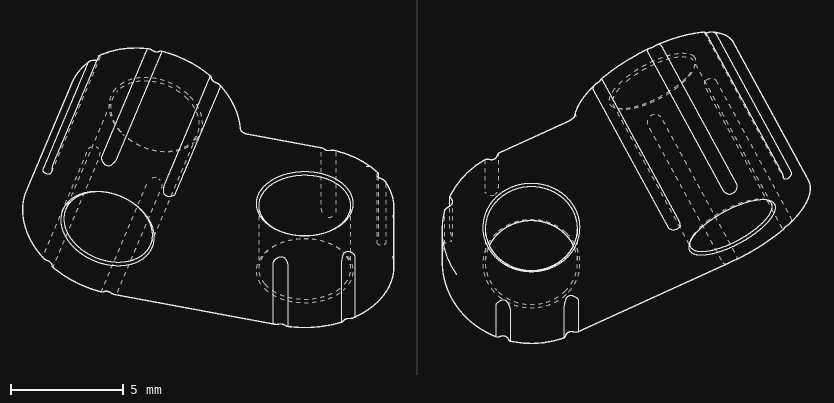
import cadquery as cq
import math

length = 15.95
width = 7.95
barrel_radius = 3.99
hole_radius = 2.04
hole_chamfer = 0.11
edge_round = 0.25
corner_round = 0.24
groove_floor_radius = 0.24
groove_depth = 0.25

tab_thickness = barrel_radius
tab_end_radius = width / 2
tab_hole_x = length - barrel_radius - tab_end_radius

barrel_groove_angles = (45, 90, 135, 225, 270)
tab_groove_angles = (-90, -45, 45, 90)


def make_body():
    """Barrel and round-ended tab, with all outer edges rounded."""
    corner_distance = barrel_radius + corner_round
    corner_x = math.sqrt(corner_distance**2 - corner_round**2)
    barrel_share = barrel_radius / corner_distance
    barrel_touch = (corner_x * barrel_share, corner_round * barrel_share)
    barrel_touch_angle = math.pi + math.atan2(corner_round, corner_x)
    tab_touch_angle = 1.5 * math.pi
    middle_angle = (barrel_touch_angle + tab_touch_angle) / 2
    corner_middle = (
        corner_x + corner_round * math.cos(middle_angle),
        corner_round + corner_round * math.sin(middle_angle),
    )
    side_profile = (
        cq.Workplane("XZ")
        .moveTo(0, -barrel_radius)
        .lineTo(length - barrel_radius, -tab_thickness)
        .lineTo(length - barrel_radius, 0)
        .lineTo(corner_x, 0)
        .threePointArc(corner_middle, barrel_touch)
        .threePointArc((-barrel_radius, 0), (0, -barrel_radius))
        .close()
    )
    plan_profile = (
        cq.Workplane("XY", origin=(0, 0, -barrel_radius))
        .moveTo(-barrel_radius, -width / 2)
        .lineTo(tab_hole_x, -width / 2)
        .threePointArc((tab_hole_x + tab_end_radius, 0), (tab_hole_x, width / 2))
        .lineTo(-barrel_radius, width / 2)
        .close()
    )
    body = side_profile.extrude(width / 2, both=True).intersect(plan_profile.extrude(2 * barrel_radius))

    side_outlines = body.faces("<Y or >Y").edges("not |Z")
    tab_rims = body.edges("%CIRCLE").edges(">X")
    return side_outlines.add(tab_rims).fillet(edge_round)


def make_hole(depth):
    """Hole cutter along Z, centred on the origin, flared at both ends."""
    half = depth / 2
    mouth = hole_radius + hole_chamfer
    outline = [
        (0, -half),
        (mouth, -half),
        (hole_radius, -half + hole_chamfer),
        (hole_radius, half - hole_chamfer),
        (mouth, half),
        (0, half),
    ]
    return cq.Workplane("XZ").polyline(outline).close().revolve(360, (0, 0), (0, 1))


def make_groove(surface_radius, angle, depth):
    """Groove cutter along Z: round floor and walls at 90 degrees to each other."""
    floor = surface_radius - groove_depth
    centre = floor + groove_floor_radius
    tangent = groove_floor_radius / math.sqrt(2)
    top = surface_radius + groove_depth
    half_mouth = tangent + top - (centre - tangent)
    profile = (
        cq.Workplane("XY")
        .moveTo(top, -half_mouth)
        .lineTo(centre - tangent, -tangent)
        .threePointArc((floor, 0), (centre - tangent, tangent))
        .lineTo(top, half_mouth)
        .close()
    )
    return profile.extrude(depth / 2, both=True).rotate((0, 0, 0), (0, 0, 1), angle)


def lay_along_y(cutter):
    """Turn a cutter from the Z axis onto the barrel axis, keeping angles measured from +X to +Z."""
    return cutter.rotate((0, 0, 0), (1, 0, 0), 90)


def place_in_tab(cutter):
    """Move a cutter to the middle of the tab hole."""
    return cutter.translate((tab_hole_x, 0, -tab_thickness / 2))


result = make_body()
result = result.cut(lay_along_y(make_hole(width)))
result = result.cut(place_in_tab(make_hole(tab_thickness)))

for angle in barrel_groove_angles:
    result = result.cut(lay_along_y(make_groove(barrel_radius, angle, width)))

for angle in tab_groove_angles:
    result = result.cut(place_in_tab(make_groove(tab_end_radius, angle, tab_thickness)))